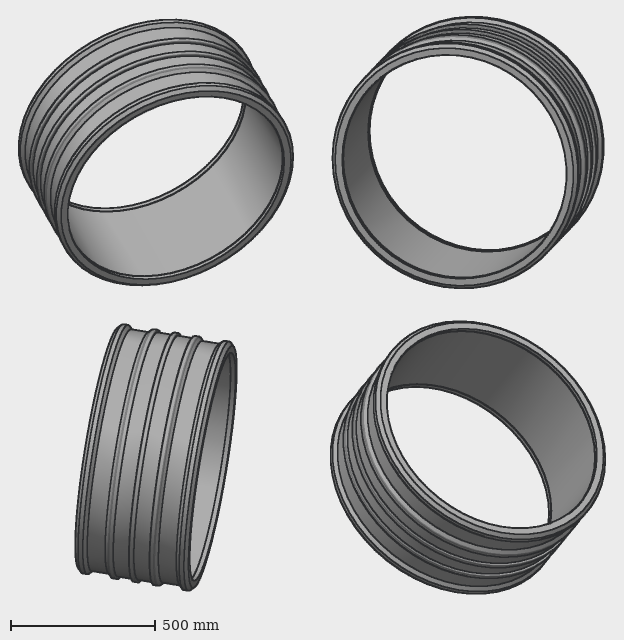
import math

import cadquery as cq

length = 400.0
outer_radius = 876 / 2
middle = length / 2

groove_radius = 850 / 2
land_radius = 858.5 / 2
flank_run = outer_radius - groove_radius

lip_radius = 800.0 / 2
relief_depth = 2.0
bore_radius = lip_radius + relief_depth
lip_width = 17.5

end_crest_width = 17.0
groove_width = 63.0
rib_width = 17.0

end_crest_stop = flank_run + end_crest_width
groove_start = end_crest_stop + flank_run
groove_stop = groove_start + groove_width
side_rib_start = groove_stop + flank_run
side_rib_stop = side_rib_start + rib_width
middle_rib_start = middle - rib_width / 2

square_corner_radius = 2.0
flank_corner_radius = 4.8
flank_angle = math.radians(45)
flank_setback = flank_corner_radius * math.tan(flank_angle / 2)
flank_tangent = flank_setback * math.cos(flank_angle)
shoulder_radius = outer_radius - square_corner_radius


def tube(start, stop, radius):
    """Tube along X whose inside is the unrelieved bore."""
    section = cq.Workplane("YZ", origin=(start, 0, 0)).circle(radius).circle(lip_radius)
    return section.extrude(stop - start)


def turned(outline):
    """Close an outline and revolve it about the ring axis."""
    return outline.close().revolve(360, (0, 0, 0), (1, 0, 0))


def end_bead():
    """Bead with two sloped flanks at the -X end."""
    return turned(
        cq.Workplane("XY")
        .moveTo(0, lip_radius)
        .lineTo(0, groove_radius)
        .lineTo(flank_run, outer_radius)
        .lineTo(end_crest_stop, outer_radius)
        .lineTo(groove_start, groove_radius)
        .lineTo(groove_start, lip_radius)
    )


def side_rib():
    """Rib on the -X side, with a sloped flank towards the groove and a square one inwards."""
    return turned(
        cq.Workplane("XY")
        .moveTo(groove_stop, lip_radius)
        .lineTo(groove_stop, groove_radius)
        .lineTo(side_rib_start - flank_tangent, outer_radius - flank_tangent)
        .radiusArc((side_rib_start + flank_setback, outer_radius), flank_corner_radius)
        .lineTo(side_rib_stop - square_corner_radius, outer_radius)
        .radiusArc((side_rib_stop, shoulder_radius), square_corner_radius)
        .lineTo(side_rib_stop, lip_radius)
    )


def middle_rib():
    """Square rib with rounded crest corners, centred on the ring."""
    rib = tube(middle_rib_start, length - middle_rib_start, outer_radius)
    return rib.edges("%CIRCLE").edges(cq.selectors.RadiusNthSelector(-1)).fillet(square_corner_radius)


def bore_relief():
    """Cylinder that widens the bore between the two end lips."""
    section = cq.Workplane("YZ", origin=(lip_width, 0, 0)).circle(bore_radius)
    return section.extrude(length - 2 * lip_width)


side = end_bead().union(tube(groove_start, groove_stop, groove_radius)).union(side_rib())
land = tube(side_rib_stop, length - side_rib_stop, land_radius)
result = (
    land.union(middle_rib())
    .union(side)
    .union(side.mirror("YZ", (middle, 0, 0)))
    .cut(bore_relief())
)